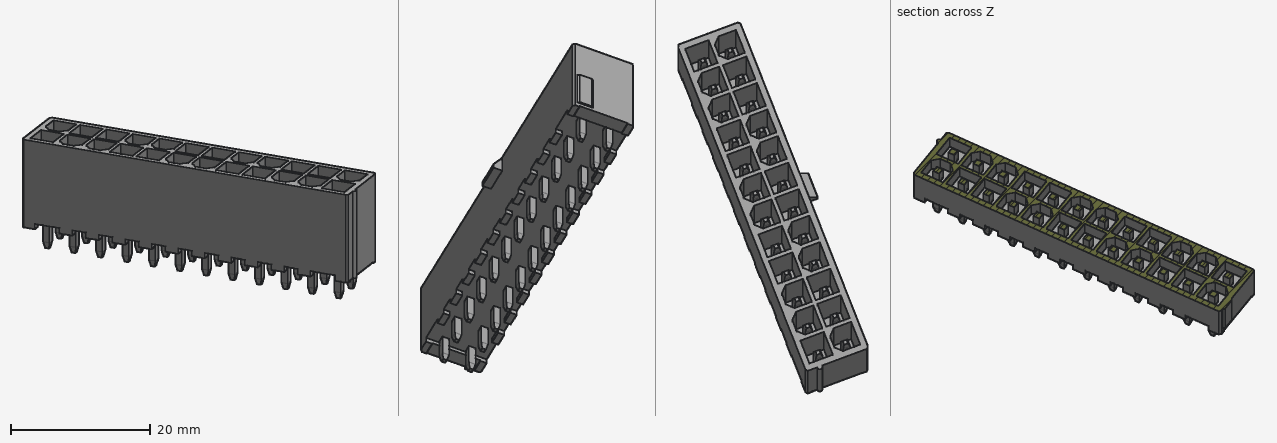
import cadquery as cq

OVERALL_LENGTH = 52.3
OVERALL_DEPTH = 11.0
OVERALL_HEIGHT = 17.25

COLUMNS = 12
CIRCUIT_SPAN = 46.2
PITCH = CIRCUIT_SPAN / (COLUMNS - 1)
PIN_ROW_SHIFT = 0.15
CAVITY_ROW_SHIFT = -0.05

PAD_THICKNESS = 0.2
RIB_HEIGHT = 0.4
RIB_WIDTH = 0.85
RIB_INSET = 2.1
LATCH_DEPTH = 1.35
LATCH_WIDTH = 3.8
LATCH_TOP_GAP = 0.15
LATCH_KNEE = 2.15
LATCH_BOTTOM = 3.0
PAD_SIDE_BEVEL = 0.3
PAD_INSET = 0.65
PAD_WIDTH = 2.5
PAD_TOP = 6.75
PAD_BOTTOM = 12.75

HOUSING_LENGTH = OVERALL_LENGTH - PAD_THICKNESS - RIB_HEIGHT
HOUSING_DEPTH = OVERALL_DEPTH - LATCH_DEPTH
HOUSING_HEIGHT = 13.55
BACK_CHAMFER = 0.3
FRONT_CHAMFER_X = 0.3
FRONT_CHAMFER_Y = 0.2
FOOT_HEIGHT = 0.85
FOOT_WIDTH = 2.05
FOOT_DEPTH = 1.0
SKIRT_RELIEF = 0.15

CAVITY_SIZE = 3.6
CAVITY_DEPTH = 10.45
CAVITY_CHAMFER = 0.95

PIN_SIZE = 1.05
PIN_END_SIZE = 0.6
PIN_TAPER = 1.05
PIN_TOP_GAP = 3.15

TOP_Z = OVERALL_HEIGHT
FOOT_Z = TOP_Z - HOUSING_HEIGHT
SKIRT_Z = FOOT_Z + SKIRT_RELIEF
LEFT_X = -HOUSING_LENGTH / 2
RIGHT_X = HOUSING_LENGTH / 2
FRONT_Y = -HOUSING_DEPTH / 2
BACK_Y = HOUSING_DEPTH / 2


def column_x(column):
    return (column - (COLUMNS - 1) / 2) * PITCH


def row_y(row, shift):
    """Row 0 is the front row and row 1 the back row."""
    return (row - 0.5) * PITCH + shift


def make_housing():
    """Chamfered block whose underside is cleared away between the feet and end skirts."""
    underside = cq.Workplane("XY", origin=(0, 0, FOOT_Z))
    block = (
        underside
        .moveTo(LEFT_X + FRONT_CHAMFER_X, FRONT_Y)
        .lineTo(RIGHT_X - FRONT_CHAMFER_X, FRONT_Y)
        .lineTo(RIGHT_X, FRONT_Y + FRONT_CHAMFER_Y)
        .lineTo(RIGHT_X, BACK_Y - BACK_CHAMFER)
        .lineTo(RIGHT_X - BACK_CHAMFER, BACK_Y)
        .lineTo(LEFT_X + BACK_CHAMFER, BACK_Y)
        .lineTo(LEFT_X, BACK_Y - BACK_CHAMFER)
        .lineTo(LEFT_X, FRONT_Y + FRONT_CHAMFER_Y)
        .close()
        .extrude(HOUSING_HEIGHT)
    )
    clearance = underside.rect(HOUSING_LENGTH - 2 * FOOT_WIDTH, HOUSING_DEPTH).extrude(FOOT_HEIGHT)
    foot_y = HOUSING_DEPTH / 2 - FOOT_DEPTH / 2
    foot_centres = [
        (column_x(column), side * foot_y)
        for column in range(1, COLUMNS - 1)
        for side in (-1, 1)
    ]
    feet = underside.pushPoints(foot_centres).rect(FOOT_WIDTH, FOOT_DEPTH).extrude(FOOT_HEIGHT)
    skirt_relief = underside.rect(HOUSING_LENGTH, HOUSING_DEPTH - 2 * FOOT_DEPTH).extrude(SKIRT_RELIEF)
    return block.cut(clearance.cut(feet)).cut(skirt_relief)


def is_keyed(column, row):
    """Keyed cavities come in pairs, staggered between the two rows."""
    in_outer_pair = column % 4 in (0, 3)
    return in_outer_pair == (row == 1)


def make_cavity(keyed):
    """Square pocket on the Z axis; a keyed one has its two front corners chamfered."""
    pocket = cq.Workplane("XY", origin=(0, 0, TOP_Z - CAVITY_DEPTH))
    pocket = pocket.rect(CAVITY_SIZE, CAVITY_SIZE).extrude(CAVITY_DEPTH)
    if keyed:
        pocket = pocket.faces("<Y").edges("|Z").chamfer(CAVITY_CHAMFER)
    return pocket


def make_pin():
    """Square pin on the Z axis, tapered at both ends."""
    shaft_length = TOP_Z - PIN_TOP_GAP - 2 * PIN_TAPER
    pin = cq.Workplane("XY", origin=(0, 0, PIN_TAPER)).rect(PIN_SIZE, PIN_SIZE).extrude(shaft_length)
    for end in ("<Z", ">Z"):
        pin = (
            pin.faces(end).workplane()
            .rect(PIN_SIZE, PIN_SIZE)
            .workplane(offset=PIN_TAPER)
            .rect(PIN_END_SIZE, PIN_END_SIZE)
            .loft(combine=True)
        )
    return pin


def place_copies(shape, circuits, row_shift):
    """Copies of a shape at the given (column, row) circuits."""
    points = [(column_x(column), row_y(row, row_shift)) for column, row in circuits]
    return cq.Workplane("XY").pushPoints(points).eachpoint(lambda location: shape.val().moved(location))


def make_latch():
    """Ramped catch in the middle of the back face."""
    return (
        cq.Workplane("YZ", origin=(-LATCH_WIDTH / 2, BACK_Y, TOP_Z))
        .moveTo(0, -LATCH_TOP_GAP)
        .lineTo(LATCH_DEPTH, -LATCH_KNEE)
        .lineTo(LATCH_DEPTH, -LATCH_BOTTOM)
        .lineTo(0, -LATCH_BOTTOM)
        .close()
        .extrude(LATCH_WIDTH)
    )


def make_pad():
    """Thin pad with bevelled sides on the left end."""
    back = BACK_Y - PAD_INSET
    front = back - PAD_WIDTH
    outer_x = LEFT_X - PAD_THICKNESS
    return (
        cq.Workplane("XY", origin=(0, 0, TOP_Z - PAD_BOTTOM))
        .moveTo(LEFT_X, back)
        .lineTo(outer_x, back - PAD_SIDE_BEVEL)
        .lineTo(outer_x, front + PAD_SIDE_BEVEL)
        .lineTo(LEFT_X, front)
        .close()
        .extrude(PAD_BOTTOM - PAD_TOP)
    )


def make_rib():
    """Rounded rib running up the right end."""
    rib_y = FRONT_Y + RIB_INSET
    return (
        cq.Workplane("XY", origin=(RIGHT_X, rib_y, SKIRT_Z))
        .moveTo(0, -RIB_WIDTH / 2)
        .threePointArc((RIB_HEIGHT, 0), (0, RIB_WIDTH / 2))
        .close()
        .extrude(TOP_Z - SKIRT_Z)
    )


all_circuits = [(column, row) for column in range(COLUMNS) for row in range(2)]

result = make_housing().union(make_latch()).union(make_pad()).union(make_rib())
for keyed in (False, True):
    matching = [circuit for circuit in all_circuits if is_keyed(*circuit) == keyed]
    result = result.cut(place_copies(make_cavity(keyed), matching, CAVITY_ROW_SHIFT))
result = result.union(place_copies(make_pin(), all_circuits, PIN_ROW_SHIFT))